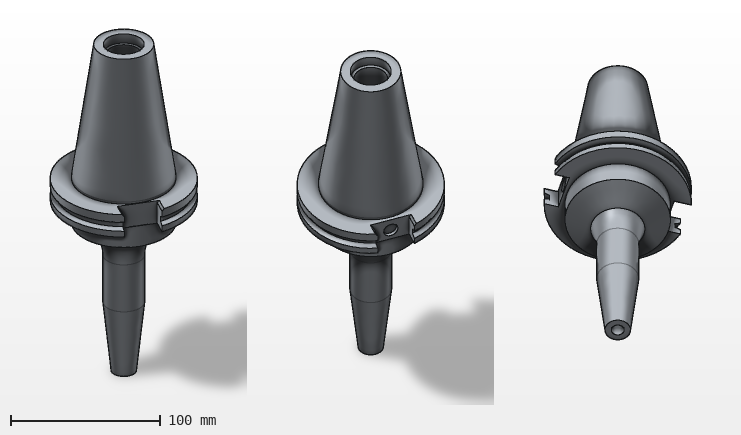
import cadquery as cq
import math

total_height = 251.5
taper_base_z = 150.0
flange_top_z = 148.5
flange_bottom_z = 131.0
collar_bottom_z = 115.0
cone_bottom_z = 105.5
shank_top_z = 89.3
shank_bottom_z = 53.0

taper_top_radius = 20.1
taper_base_radius = 35.0
flange_diameter = 98.5
flange_radius = flange_diameter / 2
collar_radius = 35.2
cone_bottom_radius = 18.0
shank_radius = 14.0
tip_radius = 8.5

groove_top_z = 142.5
groove_bottom_z = 135.5
groove_depth = 3.5
groove_wall_height = 1.5

slot_half_width = 13.0
slot_chamfer = 1.5
left_slot_floor = 37.5
right_slot_floor = 35.5
pocket_radius = 5.0
pocket_depth = 2.5
pocket_z = 139.1

counterbore_radius = 13.5
counterbore_depth = 7.0
drawbar_bore_radius = 11.3
drawbar_bore_depth = 47.0
through_radius = 4.3


def turned_body():
    """Revolve the outer contour, from the tip up to the taper end."""
    neck_rise = cone_bottom_z - shank_top_z
    neck_flare = cone_bottom_radius - shank_radius
    neck_arc_radius = (neck_rise**2 + neck_flare**2) / (2 * neck_flare)
    half_angle = math.asin(neck_rise / neck_arc_radius) / 2
    neck_middle = (
        shank_radius + neck_arc_radius * (1 - math.cos(half_angle)),
        shank_top_z + neck_arc_radius * math.sin(half_angle),
    )
    groove_radius = flange_radius - groove_depth
    return (
        cq.Workplane("XZ")
        .lineTo(tip_radius, 0)
        .lineTo(shank_radius, shank_bottom_z)
        .lineTo(shank_radius, shank_top_z)
        .threePointArc(neck_middle, (cone_bottom_radius, cone_bottom_z))
        .lineTo(collar_radius, collar_bottom_z)
        .lineTo(collar_radius, flange_bottom_z)
        .lineTo(flange_radius, flange_bottom_z)
        .lineTo(flange_radius, groove_bottom_z)
        .lineTo(groove_radius, groove_bottom_z + groove_wall_height)
        .lineTo(groove_radius, groove_top_z - groove_wall_height)
        .lineTo(flange_radius, groove_top_z)
        .lineTo(flange_radius, flange_top_z)
        .lineTo(taper_base_radius, flange_top_z)
        .lineTo(taper_base_radius, taper_base_z)
        .lineTo(taper_top_radius, total_height)
        .lineTo(0, total_height)
        .close()
        .revolve(360, (0, 0, 0), (0, 1, 0))
    )


def drive_slot(floor, side):
    """Slot cutter on one X side (-1 or +1), flared at the top edges."""
    mouth_half_width = slot_half_width + slot_chamfer
    flare_z = flange_top_z - slot_chamfer
    return (
        cq.Workplane("YZ", origin=(side * floor, 0, 0))
        .moveTo(-slot_half_width, flange_bottom_z)
        .lineTo(slot_half_width, flange_bottom_z)
        .lineTo(slot_half_width, flare_z)
        .lineTo(mouth_half_width, flange_top_z)
        .lineTo(-mouth_half_width, flange_top_z)
        .lineTo(-slot_half_width, flare_z)
        .close()
        .extrude(side * flange_radius)
    )


def slot_pocket():
    """Round blind pocket in the floor of the -X slot."""
    return (
        cq.Workplane("YZ", origin=(-left_slot_floor, 0, pocket_z))
        .circle(pocket_radius)
        .extrude(pocket_depth)
    )


def bore(radius, depth):
    """Axial bore going down from the taper end."""
    return cq.Workplane("XY", origin=(0, 0, total_height)).circle(radius).extrude(-depth)


result = (
    turned_body()
    .cut(drive_slot(left_slot_floor, -1))
    .cut(drive_slot(right_slot_floor, 1))
    .cut(slot_pocket())
    .cut(bore(counterbore_radius, counterbore_depth))
    .cut(bore(drawbar_bore_radius, drawbar_bore_depth))
    .cut(bore(through_radius, total_height))
)